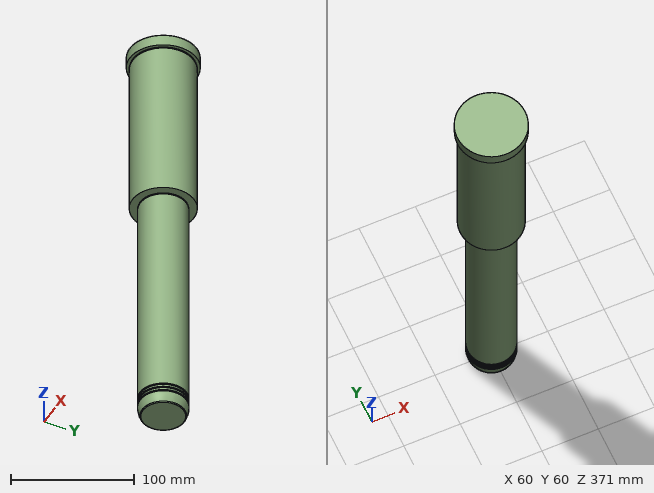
import cadquery as cq

total_height = 371.0
flange_diameter = 60.0
sleeve_diameter = 55.3
pin_diameter = 42.0

flange_thickness = 10.0
sleeve_bottom = 215.0
flange_bottom = total_height - flange_thickness

tip_height = 9.0
tip_diameter = 38.0
tip_bulge = 0.55
tip_chamfer = 0.7

groove_width = 1.0
groove_depth = 0.5
groove_count = 3
groove_pitch = 3.5
first_groove_bottom = 10.0


def cylinder(diameter, bottom, top):
    """Vertical cylinder on the Z axis between two heights."""
    return cq.Workplane("XY").workplane(offset=bottom).circle(diameter / 2).extrude(top - bottom)


def rounded_tip():
    """Lead-in revolved from a slightly convex arc, with a small chamfer at its end."""
    tip_radius = tip_diameter / 2
    pin_radius = pin_diameter / 2
    middle_radius = (tip_radius + pin_radius) / 2 + tip_bulge
    middle_height = (tip_chamfer + tip_height) / 2
    return (
        cq.Workplane("XZ")
        .lineTo(tip_radius - tip_chamfer, 0)
        .lineTo(tip_radius, tip_chamfer)
        .threePointArc((middle_radius, middle_height), (pin_radius, tip_height))
        .lineTo(0, tip_height)
        .close()
        .revolve(360, (0, 0, 0), (0, 1, 0))
    )


def ring_groove(diameter, bottom):
    """Ring to remove from the surface of a section of the given diameter."""
    top = bottom + groove_width
    core = cylinder(diameter - 2 * groove_depth, bottom, top)
    return cylinder(flange_diameter, bottom, top).cut(core)


result = (
    rounded_tip()
    .union(cylinder(pin_diameter, tip_height, sleeve_bottom))
    .union(cylinder(sleeve_diameter, sleeve_bottom, flange_bottom))
    .union(cylinder(flange_diameter, flange_bottom, total_height))
)

for index in range(groove_count):
    result = result.cut(ring_groove(pin_diameter, first_groove_bottom + index * groove_pitch))

result = result.cut(ring_groove(pin_diameter, sleeve_bottom - groove_width))
result = result.cut(ring_groove(sleeve_diameter, flange_bottom - groove_width))